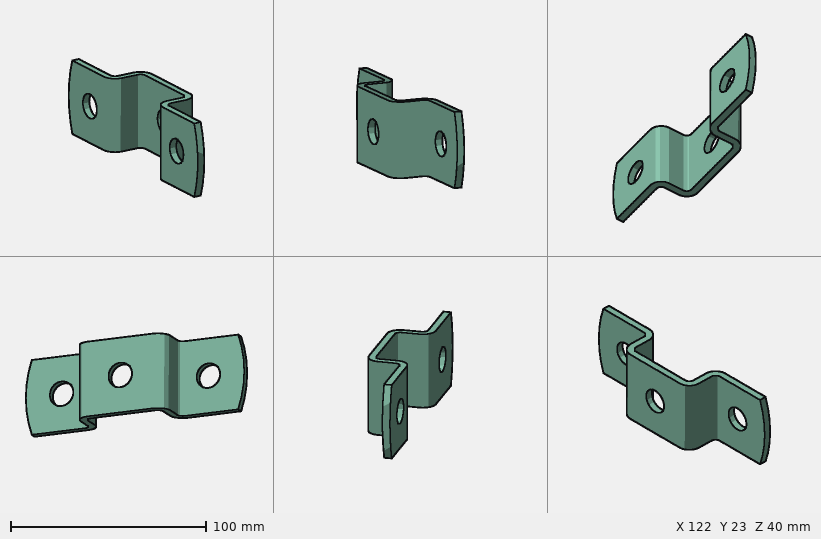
import cadquery as cq

length = 122.0
depth = 23.0
height = 40.0
thickness = 4.0
inner_bend_radius = 2.9
raised_width = 50.0
hole_diameter = 13.0
hole_spacing = 41.0

bend = inner_bend_radius + thickness / 2
end_x = length / 2
leg_x = (raised_width - thickness) / 2
raised_y = (depth - thickness) / 2
foot_y = -raised_y

centreline = (
    cq.Workplane("XY")
    .moveTo(-end_x, foot_y)
    .lineTo(-leg_x - bend, foot_y)
    .tangentArcPoint((-leg_x, foot_y + bend), relative=False)
    .lineTo(-leg_x, raised_y - bend)
    .tangentArcPoint((-leg_x + bend, raised_y), relative=False)
    .lineTo(leg_x - bend, raised_y)
    .tangentArcPoint((leg_x, raised_y - bend), relative=False)
    .lineTo(leg_x, foot_y + bend)
    .tangentArcPoint((leg_x + bend, foot_y), relative=False)
    .lineTo(end_x, foot_y)
)

strap = (
    cq.Workplane("YZ", origin=(-end_x, foot_y, 0))
    .rect(thickness, height)
    .sweep(centreline)
)

end_rounding = cq.Workplane("XZ").circle(length / 2).extrude(depth, both=True)

holes = (
    cq.Workplane("XZ")
    .pushPoints([(x, 0) for x in (-hole_spacing, 0, hole_spacing)])
    .circle(hole_diameter / 2)
    .extrude(depth, both=True)
)

result = strap.intersect(end_rounding).cut(holes)